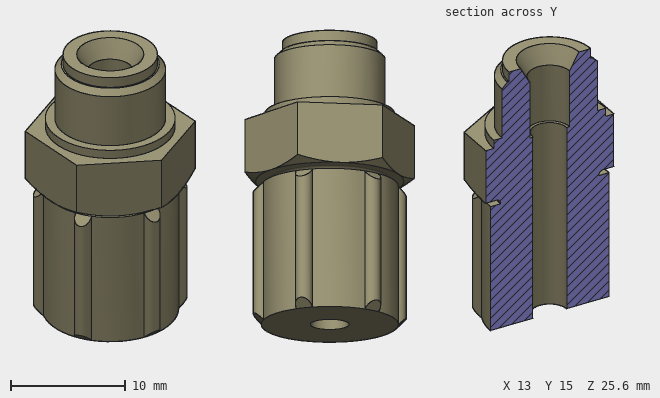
import cadquery as cq
import math

total_height = 25.6
nut_top = 12.55
hex_bottom = 12.98
hex_top = 18.33
collar_top = 19.15
shoulder_bottom = 24.1
shoulder_top = 24.63

collar_diameter = 11.4
shank_diameter = 9.73
shoulder_diameter = 8.6
tip_diameter = 8.3
neck_diameter = 10.0
neck_flare = hex_bottom - nut_top

across_flats = 13.0
across_corners = across_flats / math.cos(math.radians(30))
hex_chamfer_angle = 30.0

nut_diameter = 12.03
rib_count = 6
rib_radius = 0.77
rib_circle_radius = nut_diameter / 2
nut_outer_radius = rib_circle_radius + rib_radius
first_rib_angle = 90.0

bore_diameter = 3.4
bore_step = hex_top
seat_diameter = 4.0
mouth_diameter = 5.9
seat_half_angle = 30.0


def cylinder(diameter, bottom, top):
    return cq.Workplane("XY").workplane(offset=bottom).circle(diameter / 2).extrude(top - bottom)


def grip_nut():
    nut = cylinder(nut_diameter, 0, nut_top)
    for index in range(rib_count):
        angle = math.radians(first_rib_angle + index * 360 / rib_count)
        x = rib_circle_radius * math.cos(angle)
        y = rib_circle_radius * math.sin(angle)
        nut = nut.union(cylinder(2 * rib_radius, 0, nut_top).translate((x, y, 0)))
    envelope = cylinder(2 * nut_outer_radius, 0, nut_top).edges().chamfer(rib_radius)
    return nut.intersect(envelope)


def hexagon():
    height = hex_top - hex_bottom
    body = (
        cq.Workplane("XY").workplane(offset=hex_bottom)
        .polygon(6, across_corners).extrude(height)
        .rotate((0, 0, 0), (0, 0, 1), 30)
    )
    chamfer_width = (across_corners - across_flats) / 2
    chamfer_height = chamfer_width * math.tan(math.radians(hex_chamfer_angle))
    envelope = (
        cq.Workplane("XZ")
        .moveTo(0, hex_bottom)
        .lineTo(across_flats / 2, hex_bottom)
        .lineTo(across_corners / 2, hex_bottom + chamfer_height)
        .lineTo(across_corners / 2, hex_top)
        .lineTo(0, hex_top)
        .close()
        .revolve(360, (0, 0, 0), (0, 1, 0))
    )
    return body.intersect(envelope)


def neck():
    radius = neck_diameter / 2
    middle_x = radius + neck_flare * (1 - math.cos(math.radians(45)))
    middle_z = nut_top + neck_flare * math.sin(math.radians(45))
    return (
        cq.Workplane("XZ")
        .moveTo(0, nut_top)
        .lineTo(radius, nut_top)
        .threePointArc((middle_x, middle_z), (radius + neck_flare, hex_bottom))
        .lineTo(0, hex_bottom)
        .close()
        .revolve(360, (0, 0, 0), (0, 1, 0))
    )


def shank():
    return (
        cq.Workplane("XZ")
        .moveTo(0, collar_top)
        .lineTo(shank_diameter / 2, collar_top)
        .lineTo(shank_diameter / 2, shoulder_bottom)
        .lineTo(shoulder_diameter / 2, shoulder_top)
        .lineTo(tip_diameter / 2, shoulder_top)
        .lineTo(tip_diameter / 2, total_height)
        .lineTo(0, total_height)
        .close()
        .revolve(360, (0, 0, 0), (0, 1, 0))
    )


def bore():
    seat_depth = (mouth_diameter - seat_diameter) / 2 / math.tan(math.radians(seat_half_angle))
    return (
        cq.Workplane("XZ")
        .lineTo(bore_diameter / 2, 0)
        .lineTo(bore_diameter / 2, bore_step)
        .lineTo(seat_diameter / 2, bore_step)
        .lineTo(seat_diameter / 2, total_height - seat_depth)
        .lineTo(mouth_diameter / 2, total_height)
        .lineTo(0, total_height)
        .close()
        .revolve(360, (0, 0, 0), (0, 1, 0))
    )


collar = cylinder(collar_diameter, hex_top, collar_top)
result = grip_nut().union(neck()).union(hexagon()).union(collar).union(shank()).cut(bore())